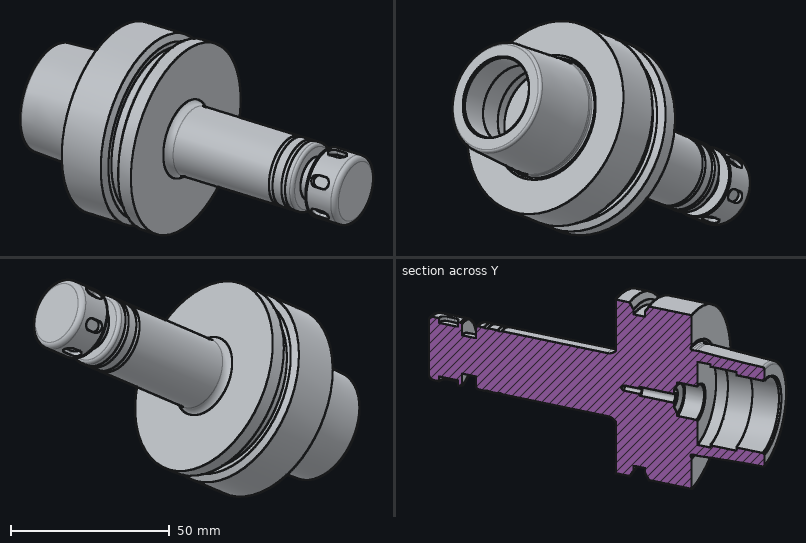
import cadquery as cq
import math

total_length = 115.0

shank_tip_radius = 18.0
shank_edge_fillet = 0.9
taper_end_x = 23.0
taper_end_radius = 19.1
neck_start_x = 23.8
neck_radius = 19.0

flange_start_x = 25.0
flange_end_x = 51.1
flange_radius = 63.0 / 2
face_groove_outer_radius = 20.4
face_groove_depth = 0.3
face_groove_fillet = 0.6
grip_groove_start_x = 39.7
grip_groove_end_x = 46.2
grip_groove_radius = 27.5
grip_wall_radius = 29.2
grip_wall_run = 1.4

shaft_radius = 11.5
shaft_end_x = 98.9
shaft_end_fillet = 1.2
shaft_fillet_radius = 3.3
shaft_fillet_length = 2.8
ring_groove_starts = (89.9, 94.6)
ring_groove_width = 1.4
ring_groove_depth = 0.2

stem_radius = 14.0 / 2
nut_start_x = 103.5
nut_back_chamfer = 0.2
nut_back_chamfer_length = 0.6
nut_front_fillet = 1.7
slot_count = 6
slot_center_x = 108.2
slot_length = 6.4
slot_width = 3.9
slot_floor_radius = 9.8

bore_diameter = 26.0
bore_land_length = 9.8
relief_diameter = 28.3
relief_end_x = 18.6
inner_relief_diameter = 29.9
bore_depth = 23.0
bore_chamfer = 0.3
bore_chamfer_length = 0.7
socket_diameter = 12.0
socket_depth = 6.9
socket_chamfer = 0.3
cone_mouth_diameter = 10.1
cone_floor_diameter = 6.0
cone_depth = 1.2
feed_mouth_diameter = 3.5
feed_hole_diameter = 3.0
feed_hole_depth = 11.5
pilot_hole_diameter = 1.7
pilot_hole_depth = 5.8


def revolve_about_x(outline):
    return outline.close().revolve(360, (0, 0, 0), (1, 0, 0))


def make_shank_and_flange():
    groove_floor_x = flange_start_x + face_groove_depth
    outline = (
        cq.Workplane("XY")
        .moveTo(0, 0)
        .lineTo(0, shank_tip_radius - shank_edge_fillet)
        .radiusArc((shank_edge_fillet, shank_tip_radius), shank_edge_fillet)
        .lineTo(taper_end_x, taper_end_radius)
        .lineTo(neck_start_x, neck_radius)
        .lineTo(groove_floor_x - face_groove_fillet, neck_radius)
        .radiusArc((groove_floor_x, neck_radius + face_groove_fillet), -face_groove_fillet)
        .lineTo(flange_start_x, face_groove_outer_radius)
        .lineTo(flange_start_x, flange_radius)
        .lineTo(grip_groove_start_x, flange_radius)
        .lineTo(grip_groove_start_x + grip_wall_run, grip_wall_radius)
        .lineTo(grip_groove_start_x + grip_wall_run, grip_groove_radius)
        .lineTo(grip_groove_end_x - grip_wall_run, grip_groove_radius)
        .lineTo(grip_groove_end_x - grip_wall_run, grip_wall_radius)
        .lineTo(grip_groove_end_x, flange_radius)
        .lineTo(flange_end_x, flange_radius)
        .lineTo(flange_end_x, 0)
    )
    return revolve_about_x(outline)


def make_shaft():
    fillet_rise = shaft_fillet_radius - math.sqrt(shaft_fillet_radius**2 - shaft_fillet_length**2)
    fillet_end = (flange_end_x + shaft_fillet_length, shaft_radius)
    outline = (
        cq.Workplane("XY")
        .moveTo(flange_end_x, 0)
        .lineTo(flange_end_x, shaft_radius + fillet_rise)
        .radiusArc(fillet_end, -shaft_fillet_radius)
    )
    for groove_start in ring_groove_starts:
        groove_end = groove_start + ring_groove_width
        outline = (
            outline.lineTo(groove_start, shaft_radius)
            .threePointArc(
                ((groove_start + groove_end) / 2, shaft_radius - ring_groove_depth),
                (groove_end, shaft_radius),
            )
        )
    outline = (
        outline.lineTo(shaft_end_x - shaft_end_fillet, shaft_radius)
        .radiusArc((shaft_end_x, shaft_radius - shaft_end_fillet), shaft_end_fillet)
        .lineTo(shaft_end_x, 0)
    )
    return revolve_about_x(outline)


def make_nut_slots():
    slots = cq.Workplane("XY")
    for index in range(slot_count):
        slot = (
            cq.Workplane("XY", origin=(slot_center_x, 0, slot_floor_radius))
            .slot2D(slot_length, slot_width)
            .extrude(shaft_radius)
            .rotate((0, 0, 0), (1, 0, 0), index * 360 / slot_count)
        )
        slots = slots.add(slot)
    return slots.combine()


def make_nut():
    outline = (
        cq.Workplane("XY")
        .moveTo(shaft_end_x, 0)
        .lineTo(shaft_end_x, stem_radius)
        .lineTo(nut_start_x, stem_radius)
        .lineTo(nut_start_x, shaft_radius - nut_back_chamfer)
        .lineTo(nut_start_x + nut_back_chamfer_length, shaft_radius)
        .lineTo(total_length - nut_front_fillet, shaft_radius)
        .radiusArc((total_length, shaft_radius - nut_front_fillet), nut_front_fillet)
        .lineTo(total_length, 0)
    )
    return revolve_about_x(outline).cut(make_nut_slots())


def make_bore():
    bore_radius = bore_diameter / 2
    socket_radius = socket_diameter / 2
    cone_start_x = bore_depth + socket_depth
    cone_end_x = cone_start_x + cone_depth
    feed_end_x = cone_end_x + feed_hole_depth
    pilot_end_x = feed_end_x + pilot_hole_depth
    feed_chamfer = (feed_mouth_diameter - feed_hole_diameter) / 2
    drill_tip_length = pilot_hole_diameter / 2
    outline = (
        cq.Workplane("XY")
        .moveTo(0, 0)
        .lineTo(0, bore_radius + bore_chamfer)
        .lineTo(bore_chamfer_length, bore_radius)
        .lineTo(bore_land_length, bore_radius)
        .lineTo(bore_land_length, relief_diameter / 2)
        .lineTo(relief_end_x, relief_diameter / 2)
        .lineTo(relief_end_x, inner_relief_diameter / 2)
        .lineTo(bore_depth, inner_relief_diameter / 2)
        .lineTo(bore_depth, socket_radius + socket_chamfer)
        .lineTo(bore_depth + socket_chamfer, socket_radius)
        .lineTo(cone_start_x, socket_radius)
        .lineTo(cone_start_x, cone_mouth_diameter / 2)
        .lineTo(cone_end_x, cone_floor_diameter / 2)
        .lineTo(cone_end_x, feed_mouth_diameter / 2)
        .lineTo(cone_end_x + feed_chamfer, feed_hole_diameter / 2)
        .lineTo(feed_end_x, feed_hole_diameter / 2)
        .lineTo(feed_end_x, pilot_hole_diameter / 2)
        .lineTo(pilot_end_x, pilot_hole_diameter / 2)
        .lineTo(pilot_end_x + drill_tip_length, 0)
    )
    return revolve_about_x(outline)


result = make_shank_and_flange().union(make_shaft()).union(make_nut()).cut(make_bore())